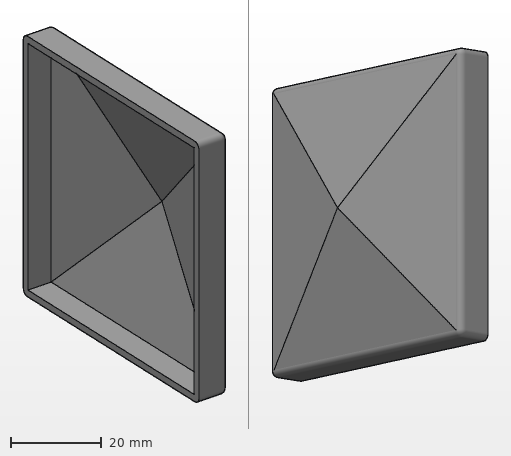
import cadquery as cq

side = 65.0
total_depth = 16.0
skirt_depth = total_depth / 2
edge_radius = 1.5
wall = 1.75
cavity_skirt_depth = 6.4
apex_thickness = 2.0


def pyramid(base_width, base_y, apex_y):
    """Four-sided pyramid on a square base in the plane y = base_y, pointing to +Y."""
    half = base_width / 2
    base = [(-half, base_y, -half), (half, base_y, -half), (half, base_y, half), (-half, base_y, half)]
    apex = (0, apex_y, 0)
    outlines = [base]
    for i in range(4):
        outlines.append([base[i], base[(i + 1) % 4], apex])
    faces = []
    for outline in outlines:
        corners = [cq.Vector(*point) for point in outline]
        faces.append(cq.Face.makeFromWires(cq.Wire.makePolygon(corners, close=True)))
    return cq.Workplane(obj=cq.Solid.makeSolid(cq.Shell.makeShell(faces)))


def square_block(width, depth):
    """Square block from the rim plane y = 0 to y = depth."""
    return cq.Workplane("XY").box(width, depth, width).translate((0, depth / 2, 0))


skirt = square_block(side, skirt_depth).edges("|Y or >Y").fillet(edge_radius)
roof = pyramid(side - 2 * edge_radius, skirt_depth, total_depth)
body = skirt.union(roof)

cavity_width = side - 2 * wall
cavity_skirt = square_block(cavity_width, cavity_skirt_depth)
cavity_roof = pyramid(cavity_width, cavity_skirt_depth, total_depth - apex_thickness)

result = body.cut(cavity_skirt.union(cavity_roof))